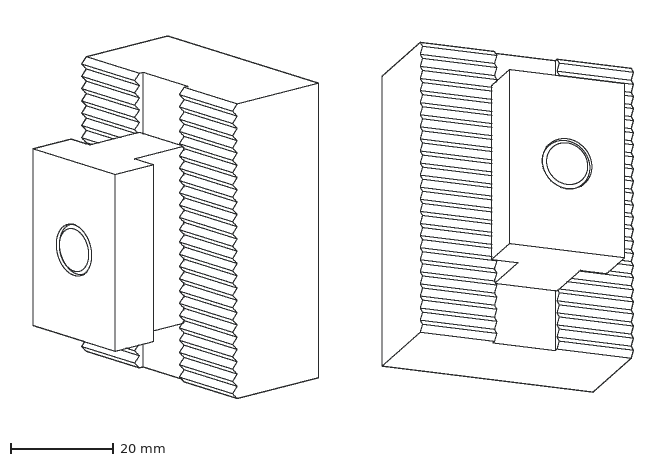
import cadquery as cq
overall_depth = 44.5

jaw_width = 44.0
jaw_height = 60.0
jaw_depth = 22.7
tooth_count = 24
tooth_pitch = jaw_height / tooth_count
tooth_depth = tooth_pitch / 2
slot_depth = 2.2
slot_floor = jaw_depth - slot_depth

neck_width = 13.0
neck_depth = 12.95
head_width = 24.0
head_depth = 10.1
nut_height = 36.0
nut_depth = neck_depth + head_depth

screw_diameter = 10.0
screw_chamfer = 0.7
bore_diameter = 10.3
screw_seat_depth = screw_diameter
screw_length = overall_depth - slot_floor + screw_seat_depth


def make_jaw():
    """Block with horizontal V teeth on its front and a vertical slot, bored for the screw's end."""
    top = jaw_height / 2
    root = -(jaw_depth - tooth_depth)
    profile = [(0, -top), (0, top), (root, top)]
    for tooth in range(tooth_count):
        tooth_top = top - tooth * tooth_pitch
        profile.append((-jaw_depth, tooth_top - tooth_pitch / 2))
        profile.append((root, tooth_top - tooth_pitch))
    block = cq.Workplane("YZ").polyline(profile).close().extrude(jaw_width / 2, both=True)
    slot = (
        cq.Workplane("XY")
        .box(neck_width, slot_depth, jaw_height, centered=(True, False, True))
        .translate((0, -jaw_depth, 0))
    )
    screw_seat = (
        cq.Workplane("XZ", origin=(0, -slot_floor, 0))
        .circle(screw_diameter / 2)
        .extrude(-screw_seat_depth)
    )
    return block.cut(slot).cut(screw_seat)


def make_t_nut():
    """T-shaped bar, wide head to the front, bored through along Y for the screw."""
    head = (
        cq.Workplane("XY")
        .box(head_width, head_depth, nut_height, centered=(True, False, True))
        .translate((0, -overall_depth, 0))
    )
    neck = (
        cq.Workplane("XY")
        .box(neck_width, neck_depth, nut_height, centered=(True, False, True))
        .translate((0, head_depth - overall_depth, 0))
    )
    bore = (
        cq.Workplane("XZ", origin=(0, -overall_depth, 0))
        .circle(bore_diameter / 2)
        .extrude(-nut_depth)
    )
    return head.union(neck).cut(bore)


def make_screw():
    """Plain cylinder along Y with a chamfered front end."""
    return (
        cq.Workplane("XZ", origin=(0, -overall_depth, 0))
        .circle(screw_diameter / 2)
        .extrude(-screw_length)
        .faces("<Y")
        .chamfer(screw_chamfer)
    )


jaw = make_jaw()
t_nut = make_t_nut()
screw = make_screw()

result = cq.Compound.makeCompound([jaw.val(), t_nut.val(), screw.val()])